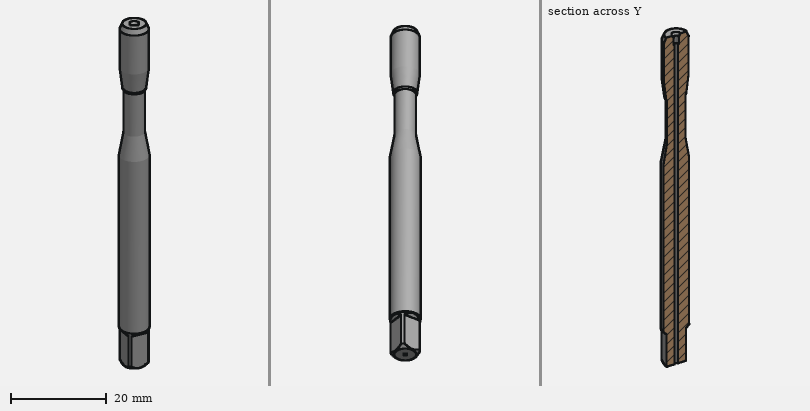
import cadquery as cq

length = 80.0
square_top = 7.9
shank_bottom = 8.7
shank_top = 49.0
neck_bottom = 54.5
neck_top = 64.5
head_cone_bottom = 65.0
head_bottom = 69.5
tip_chamfer_height = 1.3

shank_diameter = 6.5
neck_diameter = 4.6
head_cone_diameter = 5.0
head_diameter = 6.2
tip_diameter = 5.0

square_width = 4.9
square_corner_diameter = 6.2
end_chamfer = 0.8

bore_diameter = 0.8
tip_hole_diameter = 1.1
tip_hole_depth = 2.4
countersink_diameter = 2.1
countersink_angle = 75.0


def turned_body():
    """Stepped body of revolution, including the round stock of the square."""
    shoulder_height = (shank_diameter - square_corner_diameter) / 2
    profile = [
        (0, 0),
        (square_corner_diameter / 2 - end_chamfer, 0),
        (square_corner_diameter / 2, end_chamfer),
        (square_corner_diameter / 2, shank_bottom - shoulder_height),
        (shank_diameter / 2, shank_bottom),
        (shank_diameter / 2, shank_top),
        (neck_diameter / 2, neck_bottom),
        (neck_diameter / 2, neck_top),
        (head_cone_diameter / 2, head_cone_bottom),
        (head_diameter / 2, head_bottom),
        (head_diameter / 2, length - tip_chamfer_height),
        (tip_diameter / 2, length),
        (0, length),
    ]
    return cq.Workplane("XZ").polyline(profile).close().revolve(360, (0, 0, 0), (0, 1, 0))


def flat_cutter():
    """Material removed for one flat, with a sloping run-out at its upper end."""
    inner = square_width / 2
    outer = shank_diameter / 2
    profile = [(inner, 0), (outer, 0), (outer, shank_bottom), (inner, square_top)]
    return cq.Workplane("XZ").polyline(profile).close().extrude(outer, both=True)


result = turned_body()
for side in range(4):
    result = result.cut(flat_cutter().rotate((0, 0, 0), (0, 0, 1), 90 * side))

result = result.faces(">Z").workplane().cskHole(
    tip_hole_diameter, countersink_diameter, countersink_angle, depth=tip_hole_depth
)
result = result.faces("<Z").workplane().hole(bore_diameter)